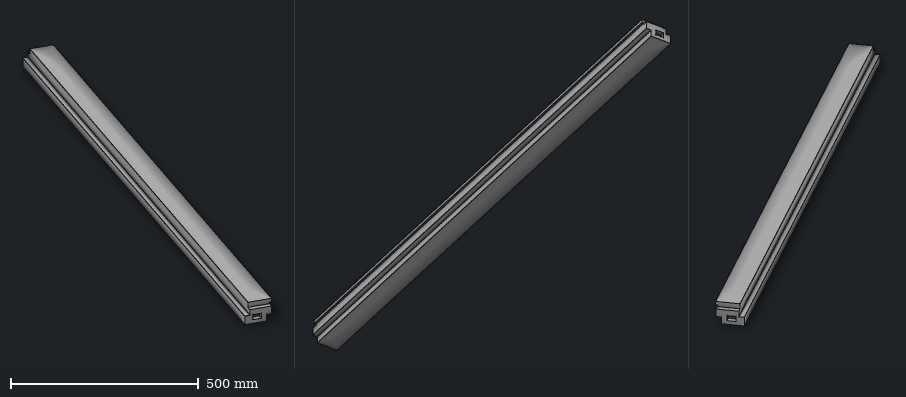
import cadquery as cq

length = 1651.0
width = 83.0
height = 58.0

front_ledge_width = 15.0
ledge_height = 26.0
rear_undercut_width = 20.0
rear_undercut_height = 20.0
rear_lip_width = 5.0
rear_lip_thickness = 12.0

end_rabbet_length = 15.0
end_rabbet_depth = 15.0

pocket_width = 25.0
pocket_height = 15.0
pocket_depth = 17.0
pocket_front_offset = 23.0
pocket_bottom = 12.0


def make_bar():
    """Extrude the stepped cross-section along X, centred on the YZ plane."""
    rear_face = width - rear_lip_width
    profile = [
        (0, 0),
        (width - rear_undercut_width, 0),
        (width - rear_undercut_width, rear_undercut_height),
        (rear_face, rear_undercut_height),
        (rear_face, height - rear_lip_thickness),
        (width, height - rear_lip_thickness),
        (width, height),
        (front_ledge_width, height),
        (front_ledge_width, ledge_height),
        (0, ledge_height),
    ]
    return cq.Workplane("YZ").polyline(profile).close().extrude(length / 2, both=True)


def end_block(side, depth, y_start, block_width, z_start, block_height):
    """Box reaching inward by depth from the end face on the given side."""
    x_start = -length / 2 if side < 0 else length / 2 - depth
    box = cq.Workplane("XY").box(depth, block_width, block_height, centered=False)
    return box.translate((x_start, y_start, z_start))


result = make_bar()
for side in (-1, 1):
    rabbet = end_block(
        side, end_rabbet_length, 0, width, height - end_rabbet_depth, end_rabbet_depth
    )
    pocket = end_block(
        side, pocket_depth, pocket_front_offset, pocket_width, pocket_bottom, pocket_height
    )
    result = result.cut(rabbet).cut(pocket)